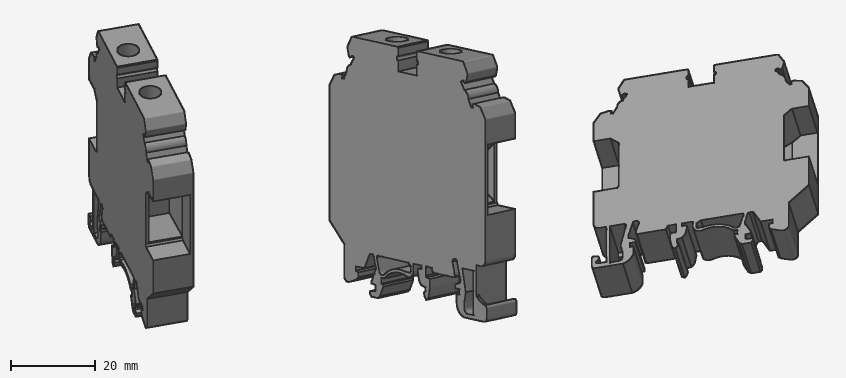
import cadquery as cq

THICKNESS = 10.0
HEIGHT = 62.0
HALF_WIDTH = 26.1
FOOT_LEFT = -26.55
BACK_WALL = 0.85
BACK_Y = THICKNESS / 2

RAIL_SEAT = 10.3
STEP_SEAT = 9.2
LEFT_SEAT = 13.3
LOWER_BODY_TOP = 16.25
RIGHT_LUG_X = 21.2
LEFT_CORNER_RADIUS = 1.55
SHOULDER_ROUND = 0.5

GROOVE_HALF_WIDTH = 3.1
GROOVE_DEPTH = 5.95
GROOVE_EDGE = 0.25
NOTCH_RADIUS = 0.5
NOTCH_DROP = 2.8

SCREW_DIAMETER = 5.2
SCREW_SPACING = 18.0
SCREW_Y = -0.5
SCREW_DEPTH = 12.4

POCKET_DEPTH = 6.15
POCKET_BOTTOM = 25.85
POCKET_TOP = 42.9
POCKET_BEVEL = (2.05, 1.9)
POCKET_LIP = (0.4, 0.55)
FUNNEL_DEPTH = 4.65
FUNNEL_MOUTH_Y = (-4.15, 4.1)
FUNNEL_MOUTH_Z = (26.8, POCKET_TOP - POCKET_BEVEL[1])
FUNNEL_END_Y = (-3.2, 2.3)
FUNNEL_END_Z = (30.75, 36.15)

WEB_LEFT = -23.0
WEB_RIGHT = -22.15
WEB_ROOT_ROUND = 0.3
WINDOW_RIB_BOTTOM = 11.85


def arc(middle, end):
    """Outline step: a circular arc through middle to end."""
    return {"middle": middle, "end": end}


def plate(outline, depth=THICKNESS):
    """Close an XZ outline and extrude it from the back face toward -Y."""
    wire = cq.Workplane("XZ", origin=(0, BACK_Y, 0)).moveTo(*outline[0])
    for step in outline[1:]:
        if isinstance(step, dict):
            wire = wire.threePointArc(step["middle"], step["end"])
        else:
            wire = wire.lineTo(*step)
    return wire.close().extrude(depth)


def tower_half():
    """Right half of the upper housing: screw tower flank, snap hooks and outer side."""
    top_corner = (18.65, HEIGHT)
    flank = (20.15, 59.2)
    hook_tip = (22.4, 52.3)
    hook_back = (24.4, 51.85)
    side_top = (HALF_WIDTH, 49.1)
    body = plate([
        (0, HEIGHT), top_corner, flank, (19.65, 57.15), (19.2, 56.8), (18.55, 57.35), (17.9, 57.0),
        (19.1, 55.1), arc((20.1, 54.3), (20.4, 53.15)), (21.4, 51.3), (21.95, 51.35), (21.7, 52.15),
        hook_tip, hook_back, side_top, (HALF_WIDTH, LOWER_BODY_TOP), (0, LOWER_BODY_TOP),
    ])
    for x, z in (top_corner, flank, hook_tip, hook_back, side_top):
        corner_edge = cq.NearestToPointSelector((x, 0, z))
        body = body.edges("|Y").edges(corner_edge).fillet(SHOULDER_ROUND)
    return body


def lower_body():
    """Lower part of the housing, down to the stepped underside."""
    corner_inset = LEFT_CORNER_RADIUS * (1 - 0.5 ** 0.5)
    return plate([
        (HALF_WIDTH, LOWER_BODY_TOP),
        (RIGHT_LUG_X, LOWER_BODY_TOP - (HALF_WIDTH - RIGHT_LUG_X)),
        (RIGHT_LUG_X, RAIL_SEAT),
        (-8.05, RAIL_SEAT), (-8.55, STEP_SEAT),
        (-15.55, STEP_SEAT), (-15.8, 9.5), (-15.75, 10.4),
        (-15.05, 12.9), arc((-15.7, 13.65), (-16.55, LEFT_SEAT)),
        (LEFT_CORNER_RADIUS - HALF_WIDTH, LEFT_SEAT),
        arc(
            (corner_inset - HALF_WIDTH, LEFT_SEAT + corner_inset),
            (-HALF_WIDTH, LEFT_SEAT + LEFT_CORNER_RADIUS),
        ),
        (-HALF_WIDTH, LOWER_BODY_TOP),
    ])


def marker_groove_half():
    """Right half of the groove between the towers, with a round notch in its wall."""
    floor = HEIGHT - GROOVE_DEPTH
    groove = plate([
        (0, floor), (GROOVE_HALF_WIDTH, floor), (GROOVE_HALF_WIDTH, HEIGHT - GROOVE_EDGE),
        (GROOVE_HALF_WIDTH + GROOVE_EDGE, HEIGHT), (0, HEIGHT),
    ])
    notch = (
        cq.Workplane("XZ", origin=(0, BACK_Y, 0))
        .center(GROOVE_HALF_WIDTH, HEIGHT - NOTCH_DROP)
        .circle(NOTCH_RADIUS)
        .extrude(THICKNESS)
    )
    return groove.union(notch)


def screw_hole():
    return (
        cq.Workplane("XY", origin=(SCREW_SPACING / 2, SCREW_Y, HEIGHT))
        .circle(SCREW_DIAMETER / 2)
        .extrude(-SCREW_DEPTH)
    )


def funnel_section(wire, y_range, z_range):
    """Add a rectangle spanning y_range and z_range to a YZ workplane."""
    return (
        wire.moveTo(y_range[0], z_range[0])
        .lineTo(y_range[1], z_range[0])
        .lineTo(y_range[1], z_range[1])
        .lineTo(y_range[0], z_range[1])
        .close()
    )


def wire_pocket():
    """Side recess open to -Y, with a tapered funnel running inward from its floor."""
    floor_x = HALF_WIDTH - POCKET_DEPTH
    recess = plate([
        (HALF_WIDTH, POCKET_BOTTOM),
        (floor_x + POCKET_LIP[0], POCKET_BOTTOM), (floor_x, POCKET_BOTTOM + POCKET_LIP[1]),
        (floor_x, POCKET_TOP - POCKET_BEVEL[1]), (floor_x + POCKET_BEVEL[0], POCKET_TOP),
        (HALF_WIDTH, POCKET_TOP),
    ]).translate((0, -BACK_WALL, 0))
    mouth = cq.Workplane("YZ", origin=(floor_x, 0, 0))
    mouth = funnel_section(mouth, FUNNEL_MOUTH_Y, FUNNEL_MOUTH_Z)
    inner_end = mouth.workplane(offset=-FUNNEL_DEPTH)
    funnel = funnel_section(inner_end, FUNNEL_END_Y, FUNNEL_END_Z).loft(ruled=True)
    return recess.union(funnel)


def latch_foot():
    """Left foot: outer hook, thin web and a springy rail claw around a window."""
    root_inset = WEB_ROOT_ROUND * (1 - 0.5 ** 0.5)
    foot = plate([
        (WEB_LEFT - WEB_ROOT_ROUND, LEFT_SEAT),
        arc(
            (WEB_LEFT - root_inset, LEFT_SEAT - root_inset),
            (WEB_LEFT, LEFT_SEAT - WEB_ROOT_ROUND),
        ),
        (WEB_LEFT, 1.5),
        (-25.1, 1.5), arc((-25.5, 1.8), (-25.35, 2.2)),
        (-24.8, 2.7), arc((-24.8, 3.5), (-25.2, 3.9)),
        (-26.05, 4.1), arc((-26.4, 3.8), (FOOT_LEFT, 3.3)),
        (FOOT_LEFT, 0.9), arc((-26.3, 0.3), (-25.65, 0)),
        (-19.0, 0), arc((-17.2, 1.2), (-16.4, 3.3)),
        (-16.4, 5.2), (-17.3, 5.2), (-17.3, 6.6),
        (-16.0, 6.6), (-16.0, 7.5), (-17.05, 8.05),
        arc((-17.6, 8.5), (-17.6, 9.3)), (-16.55, LEFT_SEAT),
    ])
    window = [
        (WEB_RIGHT, LEFT_SEAT), (-18.6, LEFT_SEAT), (-18.15, 12.9), (-19.5, 6.2),
        (-19.05, 3.65), (-19.05, 2.3), arc((-19.4, 1.4), (-20.3, 1.05)), (WEB_RIGHT, 1.05),
    ]
    foot = foot.cut(plate(window))
    window_rib = plate([
        (WEB_RIGHT, LEFT_SEAT), (-18.15, LEFT_SEAT),
        (-18.15, WINDOW_RIB_BOTTOM), (WEB_RIGHT, WINDOW_RIB_BOTTOM),
    ], BACK_WALL)
    hook_rib = plate([
        (WEB_LEFT, 6.1), arc((-24.35, 4.85), (-26.05, 4.1)),
        (-26.05, 1.05), (WEB_LEFT, 1.05),
    ], BACK_WALL)
    return foot.union(window_rib).union(hook_rib)


def middle_prong():
    return plate([
        (-6.1, RAIL_SEAT), (-6.1, 8.05), (-6.3, 7.7), (-7.5, 7.5), (-7.5, 5.45),
        (-7.25, 3.85), (-7.0, 2.7), (-6.25, 2.2), (-5.7, 3.05), (-5.45, 3.85), (-5.95, 4.3),
        (-5.95, 5.2), (-4.65, 5.45), arc((-3.95, 6.4), (-3.8, 6.95)), (-3.4, 9.05),
        (-3.8, 9.4), (-4.65, 9.4), (-4.65, RAIL_SEAT),
    ])


def spring_foot():
    """Curved spring strip and rail claw around an open loop."""
    foot = plate([
        (-2.0, RAIL_SEAT), (-2.0, 8.4), arc((-1.35, 7.2), (-0.05, 6.75)),
        (1.4, 7.2), arc((4.15, 7.2), (6.5, 6.2)), (7.8, 5.1), (8.8, 5.1), (8.8, 3.7),
        (8.1, 3.65), (8.05, 3.1), (9.2, 0.6), (9.85, 0), (12.1, 0), (12.5, 0.6), (12.5, 1.3),
        (11.1, 1.5), (10.7, 1.75), (10.7, 3.05), (12.0, 3.2), (12.1, 3.65), (10.55, 7.0),
        (11.15, 9.7), arc((11.35, 10.05), (11.65, RAIL_SEAT)),
    ])
    loop = [
        (-0.05, RAIL_SEAT), (10.1, RAIL_SEAT), (10.3, 9.85), (9.35, 6.4),
        arc((8.45, 5.8), (7.6, 6.3)), arc((4.35, 7.95), (1.05, 8.0)),
        (-0.7, 7.9), (-1.2, 8.25), (-1.2, 9.5),
    ]
    return foot.cut(plate(loop))


def right_lug():
    return plate([
        (12.45, RAIL_SEAT), (12.8, 9.9), (14.4, 6.6), (17.3, 6.6), (17.3, 5.45), (16.4, 5.2),
        (16.4, 4.0), (16.9, 3.5), (19.2, 2.5), arc((20.6, 2.55), (RIGHT_LUG_X, 3.5)),
        (RIGHT_LUG_X, RAIL_SEAT),
    ])


right_half = tower_half().cut(marker_groove_half()).cut(screw_hole()).cut(wire_pocket())
result = right_half.union(right_half.mirror("YZ")).union(lower_body())
for foot_part in (latch_foot(), middle_prong(), spring_foot(), right_lug()):
    result = result.union(foot_part)
result = result.clean()